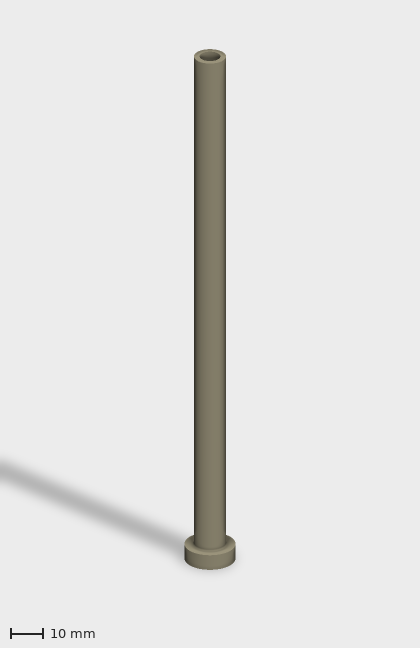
import cadquery as cq

total_length = 175.0
head_diameter = 16.0
head_height = 5.0
tube_diameter = 10.0
bore_diameter = 6.5
neck_fillet_radius = 0.5

head = cq.Workplane("XY").circle(head_diameter / 2).extrude(head_height)

tube = cq.Workplane("XY").circle(tube_diameter / 2).extrude(total_length)
neck_corner = cq.selectors.RadiusNthSelector(0)
body = head.union(tube)
body = body.faces("<Z[-2]").edges(neck_corner).fillet(neck_fillet_radius)

bore = cq.Workplane("XY").circle(bore_diameter / 2).extrude(total_length)
result = body.cut(bore)